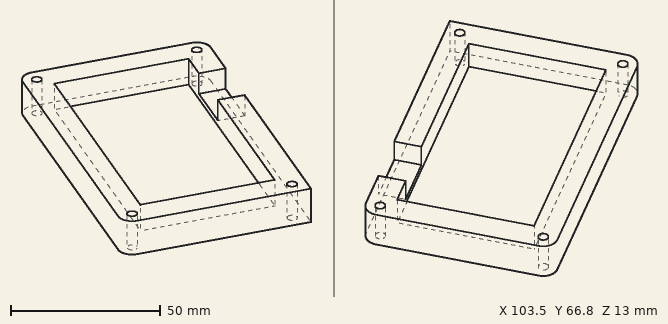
import cadquery as cq

length = 103.5
width = 66.8
height = 13.0
corner_radius = 5.0

wall = 9.5
pocket_depth = 10.0

notch_start = 19.7
notch_width = 18.5
notch_depth = 8.0

hole_diameter = 3.4
hole_inset = corner_radius


def cut_box(size_x, size_y, depth, center_x, center_y):
    """Box reaching down from the top face, used as a cutter."""
    return (
        cq.Workplane("XY", origin=(center_x, center_y, height - depth))
        .rect(size_x, size_y)
        .extrude(depth)
    )


body = cq.Workplane("XY").box(length, width, height, centered=(True, True, False))
body = body.edges("|Z and (<X or <Y)").fillet(corner_radius)

pocket = cut_box(length - 2 * wall, width - 2 * wall, pocket_depth, 0, 0)

notch_x = -length / 2 + notch_start + notch_width / 2
notch_y = width / 2 - wall / 2
notch = cut_box(notch_width, wall, notch_depth, notch_x, notch_y)

holes = (
    cq.Workplane("XY")
    .rect(length - 2 * hole_inset, width - 2 * hole_inset, forConstruction=True)
    .vertices()
    .circle(hole_diameter / 2)
    .extrude(height)
)

result = body.cut(pocket).cut(notch).cut(holes)